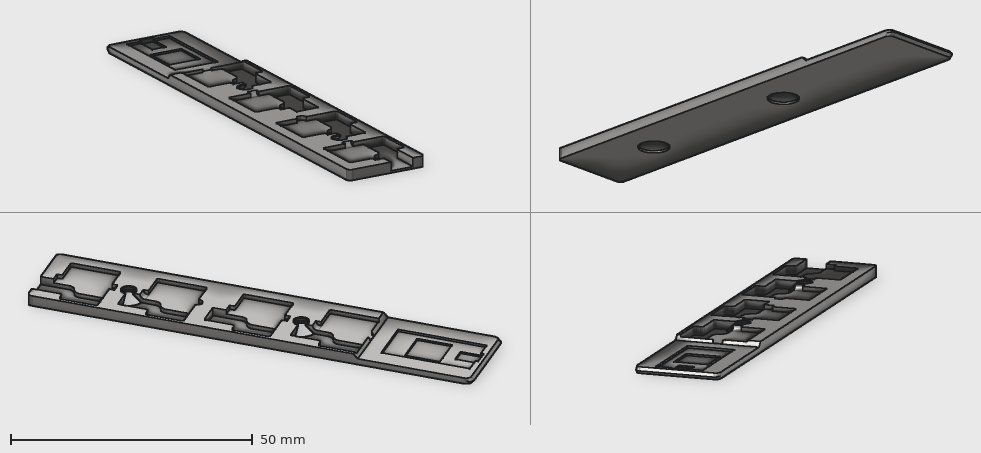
import cadquery as cq
LENGTH = 98.07
WIDTH = 18.37
HEIGHT = 2.4
LOW_HEIGHT = 1.4
RAMP_END_X = 26.3
RAMP_START_X = RAMP_END_X - (HEIGHT - LOW_HEIGHT)
CORNER_RADIUS = 1.0
TIP_Z = LOW_HEIGHT / 2
TIP_BEVEL = 0.7

LABEL_X = (2.1, 21.6)
LABEL_WIDTH = 10.3
LABEL_DEPTH = 0.5
WINDOW_X = (9.2, 16.9)
WINDOW_WIDTH = 7.45
NOTCH_X = (1.5, 6.6)
NOTCH_WIDTH = 3.3
INNER_DEPTH = 0.9

POCKET_COUNT = 4
POCKET_PITCH = 19.0
FIRST_POCKET_X = 25.95
BOW_DEPTH = 1.9
BLADE_DEPTH = 0.95
BLADE_FLOOR_Z = HEIGHT - BLADE_DEPTH
BOW_TOP_Y = 8.4
BOW_STEP_X = 8.45
BOW_STEP_Y = 6.35
BOW_LENGTH = 15.2
BOW_STEP_RADIUS = 0.6
DIVIDE_HIGH_Y = 3.45
DIVIDE_LOW_Y = 1.05
DIVIDE_CURVE_X = 5.65
DIVIDE_CURVE_LENGTH = 3.2
DIVIDE_DROP = DIVIDE_HIGH_Y - DIVIDE_LOW_Y
DIVIDE_RADIUS = (DIVIDE_CURVE_LENGTH**2 + DIVIDE_DROP**2) / (4 * DIVIDE_DROP)
BLADE_INSET = 0.1
BLADE_END_X = 11.1
BLADE_BOTTOM_Y = -6.4
TAB_REACH = 1.15
TAB_WIDTH = 2 * DIVIDE_LOW_Y
TAB_END_RADIUS = 0.9
ARC_MIDDLE = 0.5**0.5
POCKET_CORNER_RADIUS = 0.4
TAB_SHOULDER_RADIUS = 0.3
TAB_STYLES = (
    ("square", "scooped"),
    ("scooped", "square"),
    ("round", "scooped"),
    ("scooped", "square"),
)

SCREW_X = 41.05
SCREW_PITCH = 2 * POCKET_PITCH
SCREW_COUNT = 2
SCREW_DIAMETER = 3.3
HEAD_DIAMETER = 6.6
HEAD_DEPTH = HEIGHT - BOW_DEPTH


def block(x_start, x_end, y_start, y_end, z_start, z_end):
    """Box given by its limits along each axis."""
    size = (x_end - x_start, y_end - y_start, z_end - z_start)
    return cq.Workplane("XY").box(*size, centered=False).translate((x_start, y_start, z_start))


def make_plate():
    plate = (
        cq.Workplane("XZ")
        .moveTo(TIP_BEVEL, 0)
        .lineTo(LENGTH, 0)
        .lineTo(LENGTH, HEIGHT)
        .lineTo(RAMP_END_X, HEIGHT)
        .lineTo(RAMP_START_X, LOW_HEIGHT)
        .lineTo(TIP_BEVEL, LOW_HEIGHT)
        .lineTo(0, TIP_Z)
        .close()
        .extrude(WIDTH / 2, both=True)
    )
    bevel_edges = cq.selectors.BoxSelector((-1, -WIDTH, 0), (TIP_BEVEL, WIDTH, LOW_HEIGHT))
    plate = plate.edges("#Y").edges(bevel_edges).fillet(CORNER_RADIUS)
    return plate.edges("|Z and >X").fillet(CORNER_RADIUS)


def recess(x_limits, width, depth):
    """Rectangular recess in the thin end, centred on the plate's width."""
    return block(*x_limits, -width / 2, width / 2, LOW_HEIGHT - depth, LOW_HEIGHT)


def make_label_recess():
    label = recess(LABEL_X, LABEL_WIDTH, LABEL_DEPTH)
    window = recess(WINDOW_X, WINDOW_WIDTH, INNER_DEPTH)
    notch = recess(NOTCH_X, NOTCH_WIDTH, INNER_DEPTH)
    return label.union(window).union(notch)


def bow_pocket(left, right):
    """Deep half: stepped on the +Y side, an S-curve on the -Y side."""
    curve_start = left + DIVIDE_CURVE_X
    curve_mid = curve_start + DIVIDE_CURVE_LENGTH / 2
    curve_end = curve_start + DIVIDE_CURVE_LENGTH
    mid_y = DIVIDE_LOW_Y + DIVIDE_DROP / 2
    step_x = left + BOW_STEP_X
    r = BOW_STEP_RADIUS
    return (
        cq.Workplane("XY", origin=(0, 0, HEIGHT - BOW_DEPTH))
        .moveTo(left, DIVIDE_HIGH_Y)
        .lineTo(curve_start, DIVIDE_HIGH_Y)
        .radiusArc((curve_mid, mid_y), DIVIDE_RADIUS)
        .radiusArc((curve_end, DIVIDE_LOW_Y), -DIVIDE_RADIUS)
        .lineTo(right, DIVIDE_LOW_Y)
        .lineTo(right, BOW_STEP_Y)
        .lineTo(step_x + r, BOW_STEP_Y)
        .radiusArc((step_x, BOW_STEP_Y + r), r)
        .lineTo(step_x, BOW_TOP_Y - r)
        .radiusArc((step_x - r, BOW_TOP_Y), -r)
        .lineTo(left, BOW_TOP_Y)
        .close()
        .extrude(BOW_DEPTH)
    )


def make_tab(inner_x, direction, style):
    """Finger notch running from inner_x towards direction (+1 or -1), open to the top.

    style "square" has upright walls, "round" has a rounded end in plan, and
    "scooped" has a floor that sweeps up to the top as an arc.
    """
    half_width = TAB_WIDTH / 2
    end_x = inner_x + direction * TAB_REACH
    tab = block(min(inner_x, end_x), max(inner_x, end_x), -half_width, half_width, BLADE_FLOOR_Z, HEIGHT)
    if style == "round":
        end_side = ">X" if direction > 0 else "<X"
        return tab.edges("|Z").edges(end_side).fillet(TAB_END_RADIUS)
    if style == "scooped":
        scoop_mid_x = inner_x + direction * TAB_REACH * ARC_MIDDLE
        scoop_mid_z = HEIGHT - BLADE_DEPTH * ARC_MIDDLE
        return (
            cq.Workplane("XZ", origin=(0, half_width, 0))
            .moveTo(inner_x, BLADE_FLOOR_Z)
            .threePointArc((scoop_mid_x, scoop_mid_z), (end_x, HEIGHT))
            .lineTo(inner_x, HEIGHT)
            .close()
            .extrude(TAB_WIDTH)
        )
    return tab


def round_corner(body, x, y, radius):
    """Fillet the upright edge standing at (x, y)."""
    near = 0.01
    at_corner = cq.selectors.BoxSelector((x - near, y - near, 0), (x + near, y + near, HEIGHT))
    return body.edges("|Z").edges(at_corner).fillet(radius)


def make_pocket(index):
    left = FIRST_POCKET_X + index * POCKET_PITCH
    is_last = index == POCKET_COUNT - 1
    right = LENGTH if is_last else left + BOW_LENGTH
    blade_left = left + BLADE_INSET
    blade_right = left + BLADE_END_X
    left_style, right_style = TAB_STYLES[index]
    neck_right = left + DIVIDE_CURVE_X + DIVIDE_CURVE_LENGTH
    neck = block(left, neck_right, 0, DIVIDE_HIGH_Y, BLADE_FLOOR_Z, HEIGHT)
    blade = block(blade_left, blade_right, BLADE_BOTTOM_Y, DIVIDE_LOW_Y, BLADE_FLOOR_Z, HEIGHT)
    pocket = bow_pocket(left, right).union(neck).union(blade)
    corners = [(left, BOW_TOP_Y), (blade_left, BLADE_BOTTOM_Y), (blade_right, BLADE_BOTTOM_Y)]
    if not is_last:
        corners.append((right, BOW_STEP_Y))
    for corner in corners:
        pocket = round_corner(pocket, *corner, POCKET_CORNER_RADIUS)
    pocket = pocket.union(make_tab(blade_left, -1, left_style))
    pocket = pocket.union(make_tab(blade_right, 1, right_style))
    for shoulder_x, style in ((blade_left, left_style), (blade_right, right_style)):
        if style != "scooped":
            pocket = round_corner(pocket, shoulder_x, -DIVIDE_LOW_Y, TAB_SHOULDER_RADIUS)
    return pocket


def make_screw_hole(index):
    x = SCREW_X + index * SCREW_PITCH
    shank = cq.Workplane("XY").center(x, 0).circle(SCREW_DIAMETER / 2).extrude(HEIGHT)
    head = cq.Workplane("XY").center(x, 0).circle(HEAD_DIAMETER / 2).extrude(HEAD_DEPTH)
    cone_height = (HEAD_DIAMETER - SCREW_DIAMETER) / 2
    countersink = cq.Workplane(
        cq.Solid.makeCone(
            HEAD_DIAMETER / 2, SCREW_DIAMETER / 2, cone_height, cq.Vector(x, 0, HEAD_DEPTH)
        )
    )
    return shank.union(head).union(countersink)


result = make_plate().cut(make_label_recess())
for pocket_index in range(POCKET_COUNT):
    result = result.cut(make_pocket(pocket_index))
for screw_index in range(SCREW_COUNT):
    result = result.cut(make_screw_hole(screw_index))